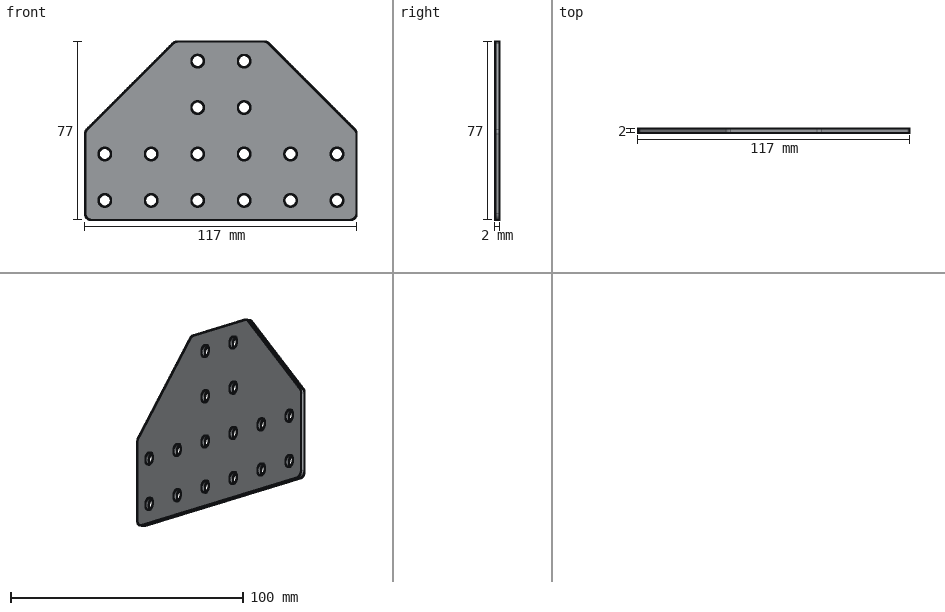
import cadquery as cq

length = 117.0
thickness = 2.0
corner_radius = 2.8
corner_cut = 38.7

pitch = 20.0
hole_diameter = 5.3
base_columns = 6
base_rows = 2
stem_columns = 2
stem_rows = 2

margin = (length - (base_columns - 1) * pitch) / 2
height = (base_rows + stem_rows - 1) * pitch + 2 * margin


def row_points(columns, row):
    """Hole centres of one row, centred across the plate."""
    z = -height / 2 + margin + row * pitch
    return [((column - (columns - 1) / 2) * pitch, z) for column in range(columns)]


def make_plate():
    """Plate in the XZ plane with cut upper corners and rounded edges."""
    half_length = length / 2
    half_height = height / 2
    outline = [
        (-half_length, -half_height),
        (half_length, -half_height),
        (half_length, half_height - corner_cut),
        (half_length - corner_cut, half_height),
        (-half_length + corner_cut, half_height),
        (-half_length, half_height - corner_cut),
    ]
    plate = cq.Workplane("XZ").polyline(outline).close().extrude(thickness / 2, both=True)
    return plate.edges("|Y").fillet(corner_radius)


def make_holes():
    """Through-hole cutters: wide base rows below narrow stem rows."""
    centres = []
    for row in range(base_rows + stem_rows):
        columns = base_columns if row < base_rows else stem_columns
        centres += row_points(columns, row)
    pins = cq.Workplane("XZ").pushPoints(centres).circle(hole_diameter / 2)
    return pins.extrude(thickness, both=True)


result = make_plate().cut(make_holes())